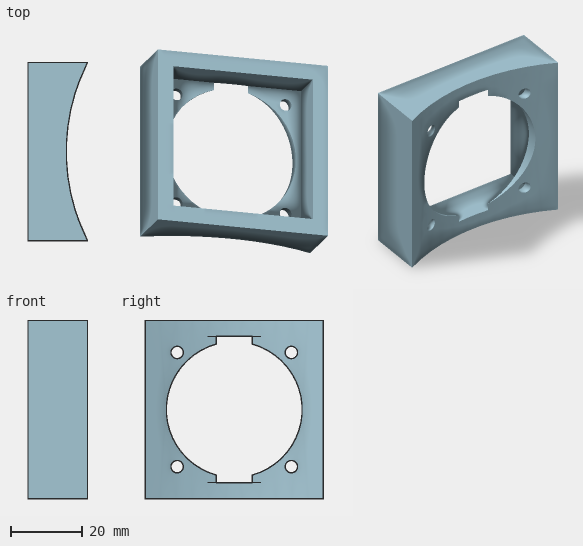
import cadquery as cq

side = 50.0
depth = 16.75
middle_depth = 10.8

wall = 4.5
pocket_side = side - 2 * wall
pocket_depth = 11.0
bore_diameter = 38.0
slot_width = 10.0

screw_diameter = 3.4
screw_spacing = 32.0


def concave_block():
    """Square block with a cylindrical hollow, axis along Z, in its +X face."""
    half = side / 2
    return (
        cq.Workplane("XY")
        .workplane(offset=-half)
        .moveTo(0, -half)
        .lineTo(depth, -half)
        .threePointArc((middle_depth, 0), (depth, half))
        .lineTo(0, half)
        .close()
        .extrude(side)
    )


def square_pocket():
    """Pocket sunk from the flat -X face."""
    return cq.Workplane("YZ").rect(pocket_side, pocket_side).extrude(pocket_depth)


def floor_openings():
    """Central bore, vertical slot and four screw holes, all through along X."""
    plane = cq.Workplane("YZ")
    bore = plane.circle(bore_diameter / 2).extrude(depth)
    slot = plane.rect(slot_width, pocket_side).extrude(depth)
    screws = (
        plane.rect(screw_spacing, screw_spacing, forConstruction=True)
        .vertices()
        .circle(screw_diameter / 2)
        .extrude(depth)
    )
    return bore.union(slot).union(screws)


result = concave_block().cut(square_pocket()).cut(floor_openings())